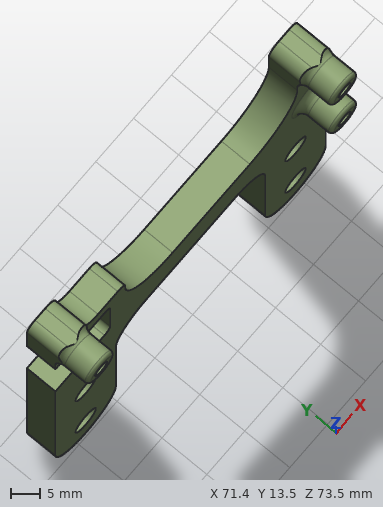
import cadquery as cq
import math

width = 71.35
height = 73.45
plate_thickness = 6.35
total_depth = 13.53

leg_width = 16.0
leg_radius = leg_width / 2
leg_hole_diameter = 5.4
leg_hole_pitch = 20.0
leg_hole_heights = (leg_radius, leg_radius + leg_hole_pitch)

bar_bottom = 40.9
bar_top = 51.6
leg_corner_radius = 8.0
arm_corner_radius = 12.5

tab_width = 7.53
tab_outer_radius = 2.15
tab_inner_radius = 2.7

shoulder_height = 66.8
shoulder_right = 18.45
shoulder_radius = 2.0
tab_root_radius = 3.7

notch_bottom = 48.6
notch_top = 62.75
notch_depth = 14.45
notch_radius = 1.5

boss_diameter = 7.0
boss_radius = boss_diameter / 2
boss_hole_diameter = 3.1
boss_root_radius = 2.0
boss_tip_radius = 0.75
boss_edge_margin = 0.05
boss_pitch = 18.25

boss_inset = boss_radius + boss_edge_margin
upper_boss_z = height - boss_inset
lower_boss_z = upper_boss_z - boss_pitch
left_boss_x = boss_inset
right_boss_x = width - boss_inset
right_tab_left = width - tab_width

arm_arc_x = shoulder_right + arm_corner_radius
arm_arc_z = bar_top + arm_corner_radius
shoulder_arc_z = shoulder_height - shoulder_radius
arc_center_distance = arm_corner_radius + shoulder_radius
shoulder_arc_x = arm_arc_x - math.sqrt(arc_center_distance**2 - (shoulder_arc_z - arm_arc_z) ** 2)
tangent_fraction = shoulder_radius / arc_center_distance
tangent_x = shoulder_arc_x + (arm_arc_x - shoulder_arc_x) * tangent_fraction
tangent_z = shoulder_arc_z + (arm_arc_z - shoulder_arc_z) * tangent_fraction


def plate_outline():
    """Outline of the plate, clockwise from the foot of the left leg's outer side."""
    return (
        cq.Workplane("XZ")
        .moveTo(0, leg_radius)
        .lineTo(0, notch_bottom)
        .lineTo(notch_depth - notch_radius, notch_bottom)
        .radiusArc((notch_depth, notch_bottom + notch_radius), -notch_radius)
        .lineTo(notch_depth, notch_top - notch_radius)
        .radiusArc((notch_depth - notch_radius, notch_top), -notch_radius)
        .lineTo(0, notch_top)
        .lineTo(0, height - tab_outer_radius)
        .radiusArc((tab_outer_radius, height), tab_outer_radius)
        .lineTo(tab_width - tab_inner_radius, height)
        .radiusArc((tab_width, height - tab_inner_radius), tab_inner_radius)
        .lineTo(tab_width, shoulder_height + tab_root_radius)
        .radiusArc((tab_width + tab_root_radius, shoulder_height), -tab_root_radius)
        .lineTo(shoulder_arc_x, shoulder_height)
        .radiusArc((tangent_x, tangent_z), shoulder_radius)
        .radiusArc((arm_arc_x, bar_top), -arm_corner_radius)
        .lineTo(right_tab_left - arm_corner_radius, bar_top)
        .radiusArc((right_tab_left, bar_top + arm_corner_radius), -arm_corner_radius)
        .lineTo(right_tab_left, height - tab_inner_radius)
        .radiusArc((right_tab_left + tab_inner_radius, height), tab_inner_radius)
        .lineTo(width - tab_outer_radius, height)
        .radiusArc((width, height - tab_outer_radius), tab_outer_radius)
        .lineTo(width, leg_radius)
        .threePointArc((width - leg_radius, 0), (width - leg_width, leg_radius))
        .lineTo(width - leg_width, bar_bottom - leg_corner_radius)
        .radiusArc((width - leg_width - leg_corner_radius, bar_bottom), -leg_corner_radius)
        .lineTo(leg_width + leg_corner_radius, bar_bottom)
        .radiusArc((leg_width, bar_bottom - leg_corner_radius), -leg_corner_radius)
        .lineTo(leg_width, leg_radius)
        .threePointArc((leg_radius, 0), (0, leg_radius))
        .close()
    )


def boss(x, z):
    """Round boss with a flared root and a rounded tip, standing on the front face."""
    tip_inner = boss_radius - boss_tip_radius
    profile = (
        cq.Workplane("XY")
        .moveTo(0, 0)
        .lineTo(boss_radius + boss_root_radius, 0)
        .lineTo(boss_radius + boss_root_radius, -plate_thickness)
        .radiusArc((boss_radius, -plate_thickness - boss_root_radius), -boss_root_radius)
        .lineTo(boss_radius, -total_depth + boss_tip_radius)
        .radiusArc((tip_inner, -total_depth), boss_tip_radius)
        .lineTo(0, -total_depth)
        .close()
    )
    return profile.revolve(360, (0, 0, 0), (0, 1, 0)).translate((x, 0, z))


def left_tab_zone():
    """Block that keeps the left boss root within the width of its tab."""
    block = cq.Workplane("XY").box(tab_width, total_depth, height, centered=False)
    return block.translate((0, -total_depth, 0))


def through_holes(centers, diameter):
    """Round holes running the full depth of the part."""
    return cq.Workplane("XZ").pushPoints(centers).circle(diameter / 2).extrude(total_depth)


leg_hole_centers = [(x, z) for x in (leg_radius, width - leg_radius) for z in leg_hole_heights]
right_boss_centers = [(right_boss_x, upper_boss_z), (right_boss_x, lower_boss_z)]
left_boss_center = (left_boss_x, upper_boss_z)

envelope = plate_outline().extrude(total_depth)
left_boss = boss(*left_boss_center).intersect(envelope).intersect(left_tab_zone())

body = plate_outline().extrude(plate_thickness).union(left_boss)
for center in right_boss_centers:
    body = body.union(boss(*center).intersect(envelope))

body = body.cut(through_holes(leg_hole_centers, leg_hole_diameter))
result = body.cut(through_holes([left_boss_center, *right_boss_centers], boss_hole_diameter))